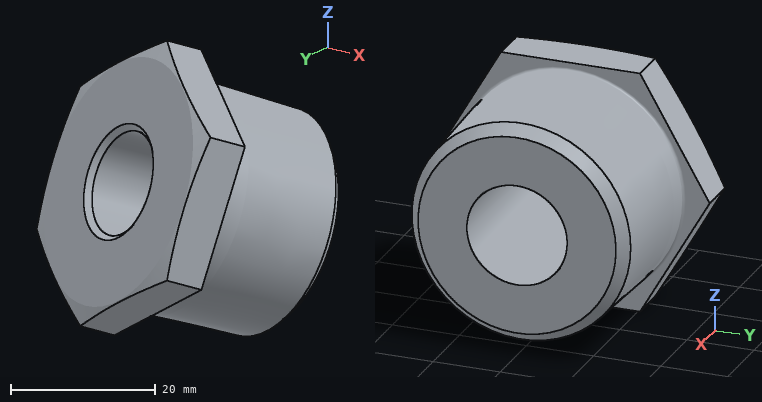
import cadquery as cq
import math

corner_width = 41.55
head_length = 6.75
face_diameter = 35.6
face_bevel_angle = 16.0

total_length = 27.0
collar_end = 10.23
collar_diameter = 33.65
taper_ratio = 1 / 16
tip_chamfer = 1.6
root_fillet = 0.37

bore_diameter = 14.95
countersink_diameter = 16.63
countersink_angle = 45.0

corner_radius = corner_width / 2
collar_radius = collar_diameter / 2
bore_radius = bore_diameter / 2


def hexagon_head():
    """Hexagonal prism along X, corners on +Y and -Y, with a conical bevel on its outer face."""
    prism = cq.Workplane("YZ").polygon(6, corner_width).extrude(head_length)
    face_radius = face_diameter / 2
    bevel_depth = (corner_radius - face_radius) * math.tan(math.radians(face_bevel_angle))
    envelope = (
        cq.Workplane("XY")
        .moveTo(0, 0)
        .lineTo(0, face_radius)
        .lineTo(bevel_depth, corner_radius)
        .lineTo(head_length, corner_radius)
        .lineTo(head_length, 0)
        .close()
        .revolve(360, (0, 0, 0), (1, 0, 0))
    )
    return prism.intersect(envelope)


def plug_body():
    """Straight collar with a root fillet, then a taper ending in a chamfered tip."""
    taper_end = total_length - tip_chamfer
    taper_end_radius = collar_radius - (taper_end - collar_end) * taper_ratio / 2
    return (
        cq.Workplane("XY")
        .moveTo(head_length, 0)
        .lineTo(head_length, collar_radius + root_fillet)
        .radiusArc((head_length + root_fillet, collar_radius), -root_fillet)
        .lineTo(collar_end, collar_radius)
        .lineTo(taper_end, taper_end_radius)
        .lineTo(total_length, taper_end_radius - tip_chamfer)
        .lineTo(total_length, 0)
        .close()
        .revolve(360, (0, 0, 0), (1, 0, 0))
    )


def bore():
    """Through hole with a conical countersink at the hexagon face."""
    countersink_radius = countersink_diameter / 2
    countersink_depth = (countersink_radius - bore_radius) / math.tan(math.radians(countersink_angle))
    return (
        cq.Workplane("XY")
        .moveTo(0, 0)
        .lineTo(0, countersink_radius)
        .lineTo(countersink_depth, bore_radius)
        .lineTo(total_length, bore_radius)
        .lineTo(total_length, 0)
        .close()
        .revolve(360, (0, 0, 0), (1, 0, 0))
    )


result = hexagon_head().union(plug_body()).cut(bore())